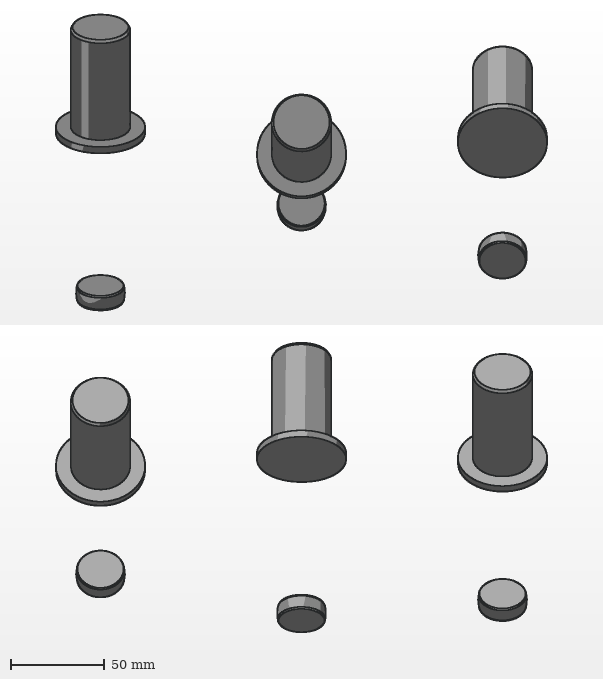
import cadquery as cq
import math

total_height = 165.0

flange_radius = 24.0
flange_thickness = 4.0
pin_radius = 16.0
pin_height = 64.0
pin_chamfer_width = 1.0
pin_chamfer_height = 1.6

pad_height = 9.2
pad_middle_radius = 13.2
pad_side_bulge = 0.3
pad_chamfer_width = 0.5
pad_chamfer_height = 1.0
pad_dome_height = 0.3
dish_floor_radius = 7.5
dish_depth = 0.2


def make_flanged_pin():
    """Round pin with a base flange and a chamfered top edge."""
    base_z = total_height - pin_height
    chamfer_z = total_height - pin_chamfer_height
    flange_top_z = base_z + flange_thickness
    return (
        cq.Workplane("XZ")
        .moveTo(0, base_z)
        .lineTo(flange_radius, base_z)
        .lineTo(flange_radius, flange_top_z)
        .lineTo(pin_radius, flange_top_z)
        .lineTo(pin_radius, chamfer_z)
        .lineTo(pin_radius - pin_chamfer_width, total_height)
        .lineTo(0, total_height)
        .close()
        .revolve(360, (0, 0, 0), (0, 1, 0))
    )


def make_pad():
    """Chamfered pad with a barrel side, a shallow domed base and a conical dish on top."""
    side_end_radius = pad_middle_radius - pad_side_bulge
    rim_radius = side_end_radius - pad_chamfer_width
    side_bottom_z = pad_dome_height + pad_chamfer_height
    side_top_z = pad_height - pad_chamfer_height
    side_middle_z = (side_bottom_z + side_top_z) / 2
    dish_floor_z = pad_height - dish_depth

    dome_radius = (rim_radius**2 + pad_dome_height**2) / (2 * pad_dome_height)
    dome_middle_radius = rim_radius / 2
    dome_middle_z = dome_radius - math.sqrt(dome_radius**2 - dome_middle_radius**2)

    return (
        cq.Workplane("XZ")
        .threePointArc((dome_middle_radius, dome_middle_z), (rim_radius, pad_dome_height))
        .lineTo(side_end_radius, side_bottom_z)
        .threePointArc((pad_middle_radius, side_middle_z), (side_end_radius, side_top_z))
        .lineTo(rim_radius, pad_height)
        .lineTo(dish_floor_radius, dish_floor_z)
        .lineTo(0, dish_floor_z)
        .close()
        .revolve(360, (0, 0, 0), (0, 1, 0))
    )


flanged_pin = make_flanged_pin()
pad = make_pad()

result = cq.Compound.makeCompound([flanged_pin.val(), pad.val()])